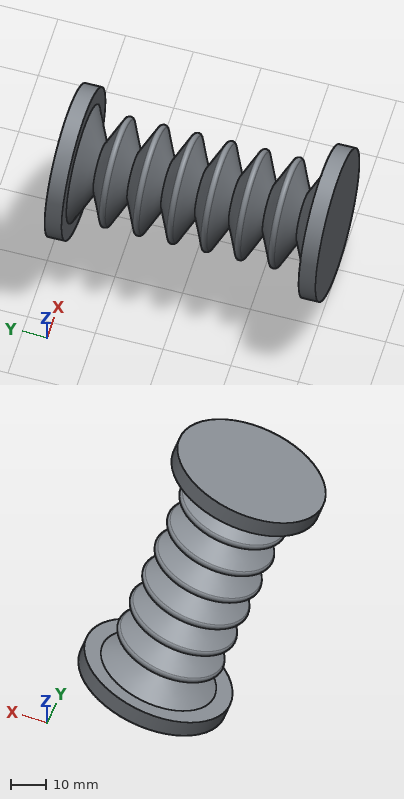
import cadquery as cq
import math

length = 80.0
flange_diameter = 45.0
flange_thickness = 5.0
fold_count = 6
valley_radius = 7.5
sharp_crest_radius = 17.5
crest_rounding = 1.0

flange_radius = flange_diameter / 2
bellows_length = length - 2 * flange_thickness
pitch = bellows_length / (fold_count + 1)
half_pitch = pitch / 2
bellows_start = -bellows_length / 2
bellows_end = bellows_length / 2

flank_angle = math.atan2(half_pitch, sharp_crest_radius - valley_radius)
crest_centre_radius = sharp_crest_radius - crest_rounding / math.sin(flank_angle)
crest_top_radius = crest_centre_radius + crest_rounding
tangent_radius = crest_centre_radius + crest_rounding * math.sin(flank_angle)
tangent_offset = crest_rounding * math.cos(flank_angle)


def add_fold(profile, fold_start):
    """Continue the profile from one valley over a rounded crest to the next valley."""
    crest_y = fold_start + half_pitch
    return (
        profile.lineTo(crest_y - tangent_offset, tangent_radius)
        .threePointArc((crest_y, crest_top_radius), (crest_y + tangent_offset, tangent_radius))
        .lineTo(fold_start + pitch, valley_radius)
    )


def make_bellows():
    """Revolve the folds about Y, with a half fold flaring into the flange at each end."""
    first_valley = bellows_start + half_pitch
    profile = (
        cq.Workplane("YZ")
        .moveTo(bellows_start, 0)
        .lineTo(bellows_start, sharp_crest_radius)
        .lineTo(first_valley, valley_radius)
    )
    for index in range(fold_count):
        profile = add_fold(profile, first_valley + index * pitch)
    profile = profile.lineTo(bellows_end, sharp_crest_radius).lineTo(bellows_end, 0).close()
    return profile.revolve(360, (0, 0, 0), (1, 0, 0))


def make_flange(start_y):
    """Round disc whose axis lies along Y, growing towards +Y from start_y."""
    end_y = start_y + flange_thickness
    profile = (
        cq.Workplane("YZ")
        .moveTo(start_y, 0)
        .lineTo(start_y, flange_radius)
        .lineTo(end_y, flange_radius)
        .lineTo(end_y, 0)
        .close()
    )
    return profile.revolve(360, (0, 0, 0), (1, 0, 0))


front_flange = make_flange(bellows_start - flange_thickness)
back_flange = make_flange(bellows_end)
result = make_bellows().union(front_flange).union(back_flange)